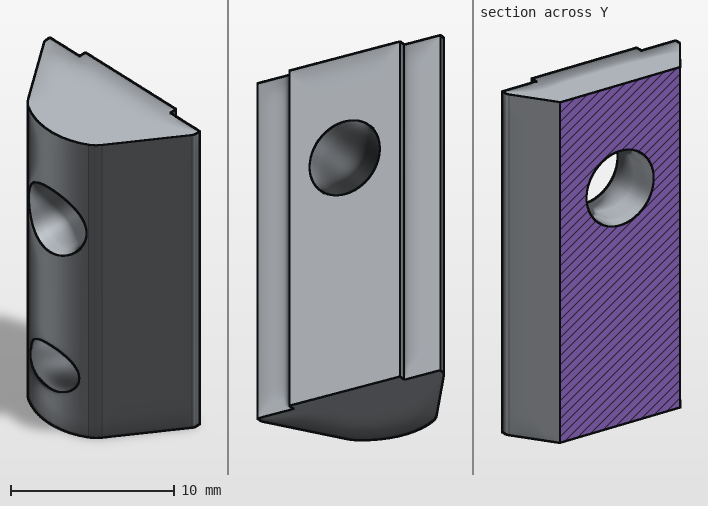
import cadquery as cq
import math

length = 23.0
width = 13.0
total_depth = 7.68
body_depth = 7.0
rib_width = 7.87
rib_height = 0.5
rim_thickness = 0.48
flank_angle = 55.0
nose_radius = 5.0
blend_radius = 2.0
rim_radius = 0.5
hole_diameter = 5.0
hole_height = 16.0
ball_diameter = 4.92
ball_height = 4.5

half_width = width / 2
half_rib = rib_width / 2
rim_end = -(rib_height + rim_thickness)
nose_center = nose_radius - body_depth

angle = math.radians(flank_angle)
flank_distance = half_width * math.sin(angle) - (rim_end - nose_center) * math.cos(angle)
normal_direction = angle - math.pi / 2
meeting_direction = normal_direction - math.acos(flank_distance / nose_radius)
nose_x = nose_radius * math.cos(meeting_direction)
nose_y = nose_center + nose_radius * math.sin(meeting_direction)


def make_body():
    """Extruded bar with a rib on its back and a rounded nose."""
    bar = (
        cq.Workplane("XY")
        .moveTo(-half_rib, 0)
        .lineTo(half_rib, 0)
        .lineTo(half_rib, -rib_height)
        .lineTo(half_width, -rib_height)
        .lineTo(half_width, rim_end)
        .lineTo(nose_x, nose_y)
        .threePointArc((0, -body_depth), (-nose_x, nose_y))
        .lineTo(-half_width, rim_end)
        .lineTo(-half_width, -rib_height)
        .lineTo(-half_rib, -rib_height)
        .close()
        .extrude(length)
    )
    for corner_x, corner_y, radius in (
        (half_width, rim_end, rim_radius),
        (nose_x, nose_y, blend_radius),
    ):
        for side in (-1, 1):
            corner = (side * corner_x, corner_y, length / 2)
            bar = bar.edges(cq.selectors.NearestToPointSelector(corner)).fillet(radius)
    return bar


def make_hole():
    """Cutter for the round hole through the bar along Y."""
    return (
        cq.Workplane("XZ")
        .center(0, hole_height)
        .circle(hole_diameter / 2)
        .extrude(body_depth)
    )


def make_ball():
    """Ball set into the nose, with its tip at the full depth."""
    radius = ball_diameter / 2
    return cq.Workplane("XY").sphere(radius).translate((0, radius - total_depth, ball_height))


result = make_body().cut(make_hole()).union(make_ball())